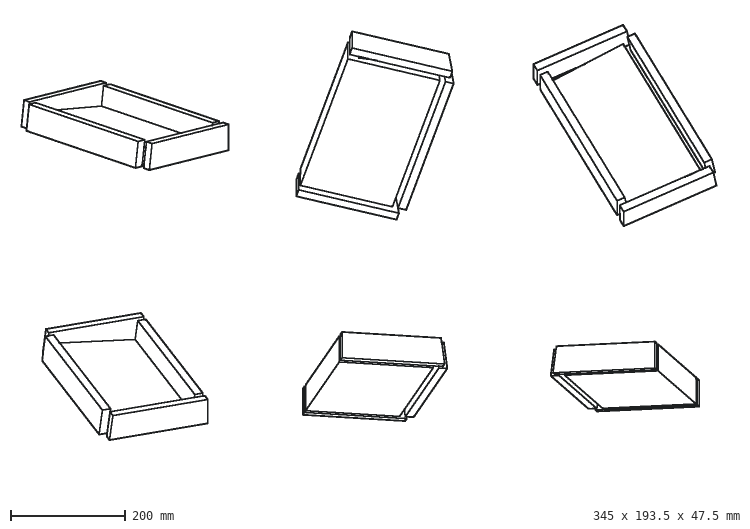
import cadquery as cq
import math

total_width = 345.0
total_depth = 193.5
height = 47.5
inner_width = 294.0
side_gap = 10.5
board = (total_width - inner_width) / 2 - side_gap

tilt = math.tan(math.radians(7.5))

base_depth = 168.5
floor_back_z = 11.0

side_depth = 183.5

toe_height = 2.0
front_board_depth = board / math.cos(math.atan(tilt))


def extrude_profile(points, x_start, length):
    """Extrude a (Y, Z) outline along +X from x_start."""
    return cq.Workplane("YZ", origin=(x_start, 0, 0)).polyline(points).close().extrude(length)


def make_base():
    """Back wall and sloping floor in one piece; the floor rises toward the front."""
    wall_foot_y = -board - (height - floor_back_z) * tilt
    floor_run = (base_depth + wall_foot_y - floor_back_z * tilt) / (1 + tilt**2)
    floor_front_y = wall_foot_y - floor_run
    floor_front_z = floor_back_z + floor_run * tilt
    outline = [
        (0, 0),
        (0, height),
        (-board, height),
        (wall_foot_y, floor_back_z),
        (floor_front_y, floor_front_z),
        (-base_depth, 0),
    ]
    return extrude_profile(outline, -inner_width / 2, inner_width)


def make_side(x_start):
    """Side board with an upright back end and a leaning front end."""
    outline = [
        (0, 0),
        (0, height),
        (-side_depth + height * tilt, height),
        (-side_depth, 0),
    ]
    return extrude_profile(outline, x_start, board)


def make_front():
    """Leaning front board with a short upright strip at the foot of its face."""
    top_front_y = -total_depth + (height - toe_height) * tilt
    top_back_y = top_front_y + front_board_depth
    outline = [
        (-total_depth, 0),
        (-total_depth, toe_height),
        (top_front_y, height),
        (top_back_y, height),
        (top_back_y - height * tilt, 0),
    ]
    return extrude_profile(outline, -inner_width / 2, inner_width)


base = make_base()
front = make_front()
sides = [make_side(x_start) for x_start in (-total_width / 2, total_width / 2 - board)]

result = cq.Compound.makeCompound([base.val(), front.val(), *[side.val() for side in sides]])